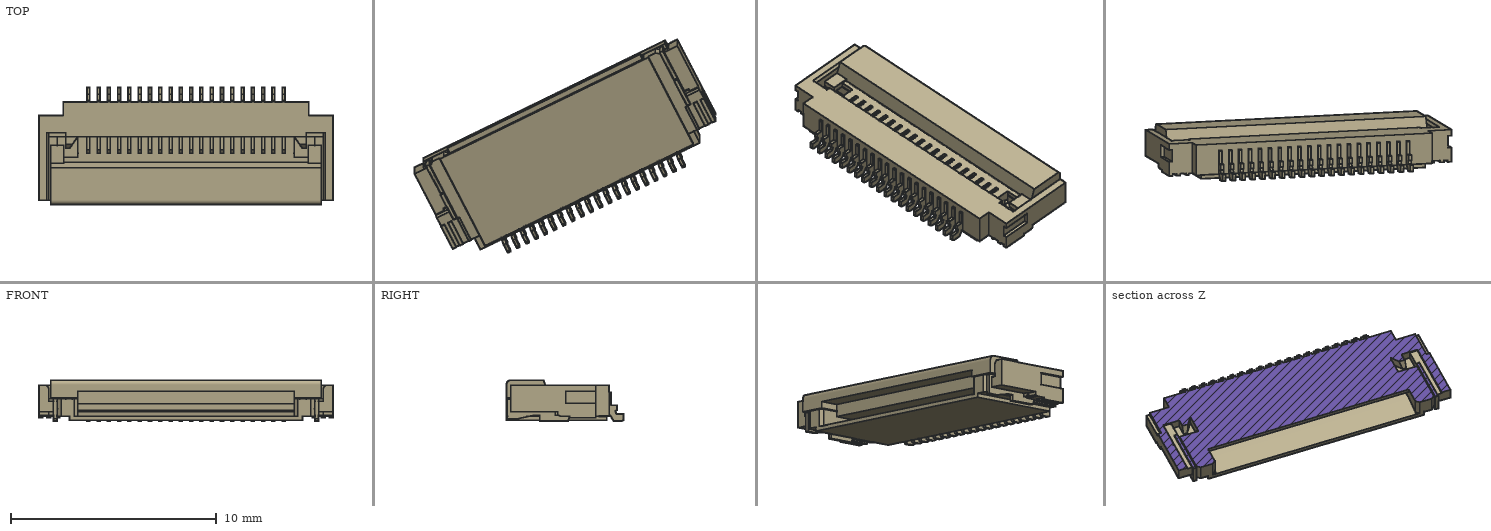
import cadquery as cq


LENGTH = 14.3
DEPTH = 5.7
HEIGHT = 2.0

BODY_TOP = 1.75
BODY_FRONT = 0.21
BODY_BACK = 5.0
CORE_HALF = 5.97
CORE_BOTTOM = 0.25
EAR_BACK = 4.35
EAR_INNER = 6.15
BASE_HALF = 5.67
BASE_BACK = 4.88
BASE_BOTTOM = 0.04
EAR_FRONT_BOTTOM = 0.46
EAR_STEP = 2.5
EAR_SLOPE_RUN = 0.12
EAR_SLOPE_RISE = 0.05
EAR_LUG_FRONT = 2.38
RIB_FRONT = 3.08
RIB_BOTTOM = 0.16
RIB_SPANS = [(EAR_INNER, 6.27), (6.58, 6.77), (6.96, LENGTH / 2)]

POCKET_BACK = 3.31
POCKET_HALF = 6.67
POCKET_FLOOR = 1.09
SIDE_FLOOR = 0.96
POCKET_CHAMFER_WIDTH = 0.11
POCKET_CHAMFER_DROP = 0.14
CORNER_BACK = 3.49
CORNER_INNER = 5.85
WELL_FLOOR = 0.6

RECESS_DEPTH = 0.17
RECESS_FRONT = 2.89
RECESS_BOTTOM = 0.86
RECESS_TOP = 1.45

POST_OUTER = 6.25
POST_CHAMFER = 0.18
POST_CHAMFER_DEPTH = 0.15
SLOT_HALF = 5.26
LIP_TOP = 0.24
RAMP_END = 0.95
SLOT_FLOOR = 0.45
STEP_FLOOR = 0.53
STEP_START = 1.6
SLOT_BACK = 2.5
FLOOR_BACK = 4.5

LEVER_HALF = 6.58
LEVER_BACK = 1.81
LEVER_BOTTOM = 1.13
LEVER_RADIUS = 0.22
ARM_TOP = 1.42
COMB_TOP = 1.36
GROOVE_BOTTOM = 1.3
COMB_START = 2.07
COMB_HALF = SLOT_HALF
NOTCH_FRONT = 2.32
ARM_INNER = 5.94
ARM_BACK = 2.89
MOUTH_TOP = 1.445
MOUTH_BOTTOM = 0.84
MOUTH_DEPTH = 1.0

GUSSET_FRONT = 2.74
GUSSET_SLOPE = 0.2
GUSSET_TIP = 5.66

CONTACTS = 20
PITCH = 0.5
CONTACT_WIDTH = 0.15
TAIL_ROOT = 4.9
STRIP_TOP = 1.45
STRIP_BACK = 5.09
SHOULDER_TOP = 0.78
SHOULDER_BACK = 5.38
SHOULDER_BOTTOM = 0.53
NECK_BACK = 5.3
NECK_HEIGHT = 0.5
FOOT_TOP = 0.35
FOOT_END_BEVEL = 0.1
FOOT_HEEL = 5.22
HEEL_TOP = 0.27
TAIL_BEVEL = 0.05
COMB_SLOT_FRONT = 2.51
COMB_SLOT_BOTTOM = 1.16
COMB_SLOT_FLOOR = 1.3
COMB_SLOT_SLOPE = 0.16

NAIL_INNER = 6.27
NAIL_OUTER = 6.445
NAIL_FRONT = 0.05
NAIL_TIP_BOTTOM = 0.13
NAIL_TIP_BACK = 0.6
NAIL_ARCH_FRONT = 1.3
NAIL_ARCH_HEIGHT = 0.28
NAIL_FOOT_FRONT = 1.62
NAIL_FOOT_BACK = 3.0


def box(x, y, z):
    """Block between the low and high limits given for each axis."""
    return cq.Workplane("XY").box(
        x[1] - x[0], y[1] - y[0], z[1] - z[0], centered=False
    ).translate((x[0], y[0], z[0]))


def side_profile(points, x):
    """Closed (Y, Z) outline extruded between two X limits."""
    return cq.Workplane("YZ").polyline(points).close().extrude(x[1] - x[0]).translate((x[0], 0, 0))


def plan_profile(points, z):
    """Closed (X, Y) outline extruded between two Z limits."""
    return cq.Workplane("XY").polyline(points).close().extrude(z[1] - z[0]).translate((0, 0, z[0]))


def both_ends(shape):
    """A feature of the +X end together with its mirror image."""
    return shape.union(shape.mirror("YZ"))


def make_ear():
    """End block of the housing, open toward the nail, with locating ribs beneath and a side recess."""
    end = LENGTH / 2
    lug_bottom = CORE_BOTTOM + EAR_SLOPE_RISE
    ear = side_profile(
        [
            (BODY_FRONT, BODY_TOP),
            (BODY_FRONT, EAR_FRONT_BOTTOM),
            (EAR_STEP, EAR_FRONT_BOTTOM),
            (EAR_STEP, lug_bottom),
            (EAR_STEP + EAR_SLOPE_RUN, CORE_BOTTOM),
            (EAR_BACK, CORE_BOTTOM),
            (EAR_BACK, BODY_TOP),
        ],
        (EAR_INNER, end),
    )
    front_gap = box((EAR_INNER, NAIL_OUTER), (BODY_FRONT, EAR_STEP), (EAR_FRONT_BOTTOM, BODY_TOP))
    ear = ear.cut(front_gap)
    lug = box((NAIL_OUTER, POCKET_HALF), (EAR_LUG_FRONT, EAR_STEP), (lug_bottom, EAR_FRONT_BOTTOM))
    ear = ear.union(lug)
    for span in RIB_SPANS:
        ear = ear.union(box(span, (RIB_FRONT, EAR_BACK), (RIB_BOTTOM, CORE_BOTTOM)))
    recess = box((end - RECESS_DEPTH, end), (RECESS_FRONT, EAR_BACK), (RECESS_BOTTOM, RECESS_TOP))
    return ear.cut(recess)


def make_post():
    """Block closing one end of the cable slot, bevelled on both front corners."""
    return plan_profile(
        [
            (SLOT_HALF, EAR_BACK),
            (SLOT_HALF, POST_CHAMFER_DEPTH),
            (SLOT_HALF + POST_CHAMFER, 0),
            (POST_OUTER - POST_CHAMFER, 0),
            (POST_OUTER, POST_CHAMFER_DEPTH),
            (POST_OUTER, EAR_BACK),
        ],
        (LIP_TOP, BODY_TOP),
    )


def make_floor():
    """Base under the cable slot, with its lead-in ramp and the wall closing the slot."""
    base = box((-BASE_HALF, BASE_HALF), (0, BASE_BACK), (BASE_BOTTOM, LIP_TOP))
    floor = side_profile(
        [
            (0, LIP_TOP),
            (RAMP_END, SLOT_FLOOR),
            (STEP_START, SLOT_FLOOR),
            (STEP_START, STEP_FLOOR),
            (SLOT_BACK, STEP_FLOOR),
            (SLOT_BACK, POCKET_FLOOR),
            (FLOOR_BACK, POCKET_FLOOR),
            (FLOOR_BACK, LIP_TOP),
        ],
        (-SLOT_HALF, SLOT_HALF),
    )
    return base.union(floor)


def make_pocket():
    """Space for the lever, with a chamfered rim along each side and a well at each comb end."""
    pocket = box((-POST_OUTER, POST_OUTER), (0, POCKET_BACK), (POCKET_FLOOR, BODY_TOP))
    side = box((POST_OUTER, POCKET_HALF), (0, POCKET_BACK), (SIDE_FLOOR, BODY_TOP))
    corner = box((CORNER_INNER, POCKET_HALF), (POCKET_BACK, CORNER_BACK), (POCKET_FLOOR, BODY_TOP))
    chamfer = (
        cq.Workplane("XZ")
        .polyline(
            [
                (POCKET_HALF, BODY_TOP),
                (POCKET_HALF + POCKET_CHAMFER_WIDTH, BODY_TOP),
                (POCKET_HALF, BODY_TOP - POCKET_CHAMFER_DROP),
            ]
        )
        .close()
        .extrude(-CORNER_BACK)
    )
    well = box((SLOT_HALF, NAIL_INNER), (NOTCH_FRONT, POCKET_BACK), (WELL_FLOOR, POCKET_FLOOR))
    return pocket.union(both_ends(side.union(corner).union(chamfer).union(well)))


def make_housing():
    """Moulded housing with the lever pocket removed."""
    core = box((-CORE_HALF, CORE_HALF), (POCKET_BACK, BODY_BACK), (CORE_BOTTOM, BODY_TOP))
    housing = core.union(make_floor()).union(both_ends(make_ear().union(make_post())))
    return housing.cut(make_pocket())


def make_lever():
    """Lever with a rounded front edge, a cable mouth below it, a comb behind it and an arm at each end."""
    body = side_profile(
        [
            (0, LEVER_BOTTOM),
            (0, HEIGHT),
            (LEVER_BACK, HEIGHT),
            (COMB_START, GROOVE_BOTTOM),
            (COMB_START, LEVER_BOTTOM),
        ],
        (-LEVER_HALF, LEVER_HALF),
    )
    body = body.edges("|X and >Z and <Y").fillet(LEVER_RADIUS)
    web = box((-ARM_INNER, ARM_INNER), (COMB_START, NOTCH_FRONT), (LEVER_BOTTOM, COMB_TOP))
    comb = box((-COMB_HALF, COMB_HALF), (COMB_START, POCKET_BACK), (MOUTH_BOTTOM, COMB_TOP))
    beam = box((-COMB_HALF, COMB_HALF), (MOUTH_DEPTH, COMB_START), (MOUTH_BOTTOM, LEVER_BOTTOM))
    arm = box((ARM_INNER, LEVER_HALF), (MOUTH_DEPTH, ARM_BACK), (LEVER_BOTTOM, ARM_TOP))
    mouth = box((-COMB_HALF, COMB_HALF), (0, MOUTH_DEPTH), (MOUTH_BOTTOM, MOUTH_TOP))
    return body.union(web).union(comb).union(beam).union(both_ends(arm)).cut(mouth)


def make_gusset():
    """Gusset standing in the well, with a steep front slope."""
    outline = [
        (CORNER_INNER, POCKET_BACK),
        (COMB_HALF, POCKET_BACK),
        (GUSSET_TIP, GUSSET_FRONT),
        (CORNER_INNER, GUSSET_FRONT),
    ]
    gusset = plan_profile(outline, (WELL_FLOOR, POCKET_FLOOR))
    slope = side_profile(
        [
            (GUSSET_FRONT, WELL_FLOOR),
            (GUSSET_FRONT + GUSSET_SLOPE, POCKET_FLOOR),
            (GUSSET_FRONT, POCKET_FLOOR),
        ],
        (COMB_HALF, CORNER_INNER),
    )
    return gusset.cut(slope)


def make_nail():
    """Vertical hold-down plate with a solder foot."""
    return side_profile(
        [
            (NAIL_FRONT, POCKET_FLOOR),
            (NAIL_FRONT, NAIL_TIP_BOTTOM),
            (NAIL_TIP_BACK, NAIL_TIP_BOTTOM),
            (NAIL_ARCH_FRONT, NAIL_ARCH_HEIGHT),
            (NAIL_FOOT_FRONT, NAIL_ARCH_HEIGHT),
            (NAIL_FOOT_FRONT, 0),
            (NAIL_FOOT_BACK, 0),
            (RIB_FRONT, CORE_BOTTOM),
            (POCKET_BACK, CORE_BOTTOM),
            (POCKET_BACK, SIDE_FLOOR),
            (EAR_STEP, SIDE_FLOOR),
            (EAR_STEP, POCKET_FLOOR),
        ],
        (NAIL_INNER, NAIL_OUTER),
    )


def contact_positions():
    """X centres of the evenly pitched contacts."""
    return [(i - (CONTACTS - 1) / 2) * PITCH for i in range(CONTACTS)]


def contact_span(x):
    """X limits of the contact centred at x."""
    return (x - CONTACT_WIDTH / 2, x + CONTACT_WIDTH / 2)


def make_tail(x):
    """Solder tail: an upright strip, a shoulder with a small neck, and a bevelled foot."""
    return side_profile(
        [
            (TAIL_ROOT, STRIP_TOP),
            (STRIP_BACK, STRIP_TOP - TAIL_BEVEL),
            (STRIP_BACK, SHOULDER_TOP),
            (SHOULDER_BACK, SHOULDER_TOP),
            (SHOULDER_BACK, SHOULDER_BOTTOM),
            (NECK_BACK, NECK_HEIGHT),
            (NECK_BACK + TAIL_BEVEL, FOOT_TOP),
            (DEPTH, FOOT_TOP),
            (DEPTH, TAIL_BEVEL),
            (DEPTH - FOOT_END_BEVEL, 0),
            (FOOT_HEEL, 0),
            (BODY_BACK + TAIL_BEVEL, HEEL_TOP),
            (TAIL_ROOT, HEEL_TOP),
        ],
        contact_span(x),
    )


def make_comb_slot(x):
    """Groove in the comb above a contact; its floor dips toward the front."""
    return side_profile(
        [
            (COMB_SLOT_FRONT, COMB_TOP),
            (COMB_SLOT_FRONT, COMB_SLOT_BOTTOM),
            (COMB_SLOT_FRONT + COMB_SLOT_SLOPE, COMB_SLOT_FLOOR),
            (POCKET_BACK, COMB_SLOT_FLOOR),
            (POCKET_BACK, COMB_TOP),
        ],
        contact_span(x),
    )


result = make_housing().union(make_lever()).union(both_ends(make_nail().union(make_gusset())))
for x in contact_positions():
    result = result.cut(make_comb_slot(x)).union(make_tail(x))